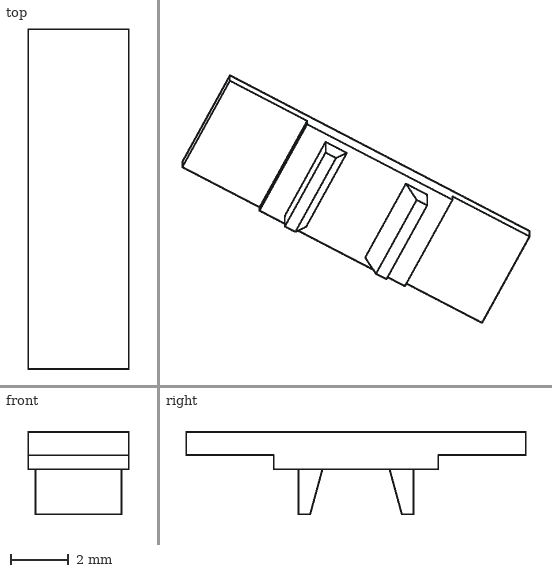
import cadquery as cq

plate_length = 11.8
plate_width = 3.5
plate_thickness = 0.8

pad_length = 5.72
pad_thickness = 0.5

total_height = 2.85
leg_span = 4.0
leg_width = 3.0
leg_root = 0.84
leg_tip = 0.41

pad_top = -plate_thickness
pad_bottom = pad_top - pad_thickness
leg_bottom = -total_height


def slab(length, thickness, top):
    """Full-width block centred in X and Y, hanging down from height top."""
    return cq.Workplane("XY").box(
        plate_width, length, thickness, centered=(True, True, False)
    ).translate((0, 0, top - thickness))


def leg(side):
    """Leg with an upright outer face and a sloped inner face; side is +1 or -1 along Y."""
    outer = leg_span / 2
    return (
        cq.Workplane("YZ")
        .polyline([
            (side * outer, pad_bottom),
            (side * outer, leg_bottom),
            (side * (outer - leg_tip), leg_bottom),
            (side * (outer - leg_root), pad_bottom),
        ])
        .close()
        .extrude(leg_width / 2, both=True)
    )


result = slab(plate_length, plate_thickness, 0)
result = result.union(slab(pad_length, pad_thickness, pad_top))
for side in (-1, 1):
    result = result.union(leg(side))